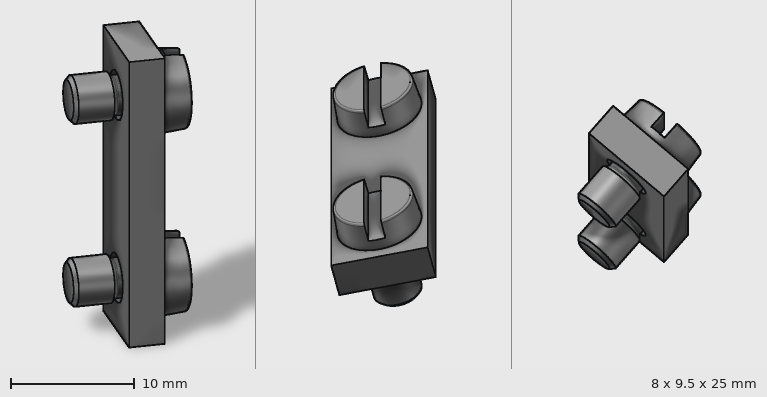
import cadquery as cq
import math

plate_width = 8.0
plate_thickness = 3.0
plate_height = 25.0
screw_spacing = 16.0
lower_screw_z = -8.0
screw_heights = [lower_screw_z, lower_screw_z + screw_spacing]
clearance_hole_diameter = 4.1

head_height = 2.5
head_base_radius = 3.5
head_taper_angle = 5.0
head_rim_fillet = 0.2
slot_width = 1.4
slot_depth = 1.6

thread_radius = 2.0
thread_length = 4.0
tip_chamfer = 0.35
neck_radius = 1.65
neck_fillet = 0.2
shoulder_end = 0.65
shoulder_angle = 45.0


def make_plate():
    """Rectangular plate with a clearance hole for each screw."""
    plate = cq.Workplane("XY").box(plate_width, plate_thickness, plate_height)
    plate = plate.translate((0, plate_thickness / 2, 0))
    holes = (
        cq.Workplane("XZ")
        .pushPoints([(0, z) for z in screw_heights])
        .circle(clearance_hole_diameter / 2)
        .extrude(-plate_thickness)
    )
    return plate.cut(holes)


def make_head():
    """Tapered head resting on the back face of the plate, slotted along Z."""
    head_top = plate_thickness + head_height
    head_top_radius = head_base_radius - head_height * math.tan(math.radians(head_taper_angle))
    head = (
        cq.Workplane("XY")
        .moveTo(0, plate_thickness)
        .lineTo(head_base_radius, plate_thickness)
        .lineTo(head_top_radius, head_top)
        .lineTo(0, head_top)
        .close()
        .revolve(360, (0, 0, 0), (0, 1, 0))
        .faces(">Y")
        .edges()
        .fillet(head_rim_fillet)
    )
    slot = cq.Workplane("XY").box(slot_width, slot_depth, 2 * head_base_radius)
    return head.cut(slot.translate((0, head_top - slot_depth / 2, 0)))


def make_shank():
    """Neck blended into a conical shoulder, then the thread cylinder with a chamfered tip."""
    cone_angle = math.radians(shoulder_angle)
    middle_angle = cone_angle / 2
    cone_start_radius = neck_radius + neck_fillet * (1 - math.cos(cone_angle))
    cone_start_y = -shoulder_end + (thread_radius - cone_start_radius) / math.tan(cone_angle)
    neck_end_y = cone_start_y + neck_fillet * math.sin(cone_angle)
    blend_middle = (
        neck_radius + neck_fillet * (1 - math.cos(middle_angle)),
        neck_end_y - neck_fillet * math.sin(middle_angle),
    )
    return (
        cq.Workplane("XY")
        .moveTo(0, plate_thickness)
        .lineTo(neck_radius, plate_thickness)
        .lineTo(neck_radius, neck_end_y)
        .threePointArc(blend_middle, (cone_start_radius, cone_start_y))
        .lineTo(thread_radius, -shoulder_end)
        .lineTo(thread_radius, -thread_length + tip_chamfer)
        .lineTo(thread_radius - tip_chamfer, -thread_length)
        .lineTo(0, -thread_length)
        .close()
        .revolve(360, (0, 0, 0), (0, 1, 0))
    )


def make_screw(z):
    """One screw, with its axis along Y at the given height."""
    return make_head().union(make_shank()).translate((0, 0, z))


plate = make_plate()
screws = [make_screw(z) for z in screw_heights]

result = cq.Compound.makeCompound([plate.val(), *[screw.val() for screw in screws]])